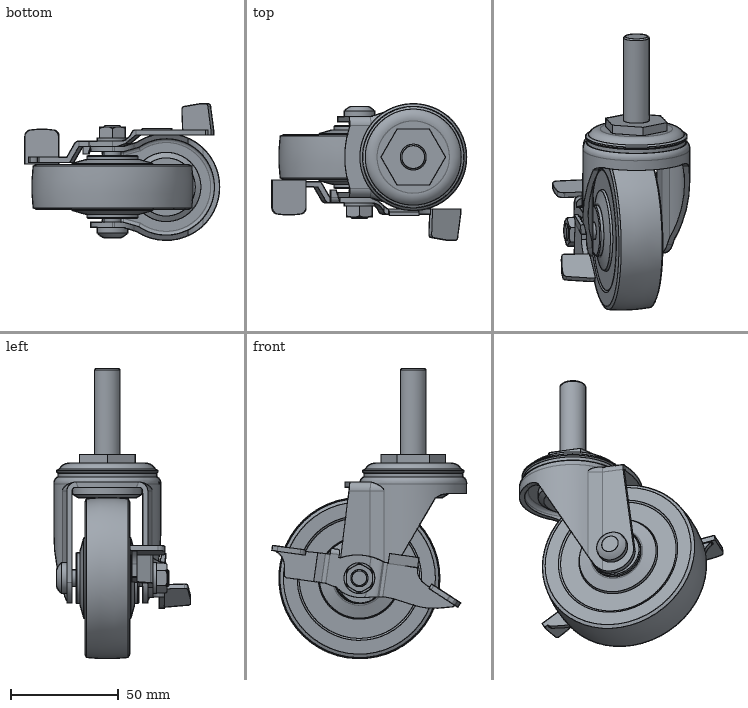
import cadquery as cq
import math


AXLE_X = -25.0
AXLE_R = 4.0
SHEET = 2.45
LEG_OUTER_Y = 18.8
BRAKE_OUTER_Y = LEG_OUTER_Y + SHEET
FORK_TOP = 46.9
FORK_R = 24.85
ROOF_TOP = 44.65
ROOF_BOTTOM = ROOF_TOP - SHEET
KINGPIN_R = 6.0

STEM_R = 6.0
STEM_TOP = 97.42
STEM_LENGTH = 40.0
STEM_CHAMFER = 0.7
HEX_FLATS = 26.0
HEX_HEIGHT = 4.0
HEX_TOP = STEM_TOP - STEM_LENGTH
CAP_TOP = HEX_TOP - HEX_HEIGHT
CAP_FLAT_R = 16.8
CAP_R = 23.6
CAP_CROWN_R = 22.3
CAP_CROWN_BOTTOM = 50.7
CAP_LIP_TOP = 50.0
CAP_LIP_BOTTOM = 48.7
CAP_NECK_R = 23.0
RACE_R = 16.1
RACE_EDGE = 38.9
RACE_BOTTOM = 37.3
RACE_BOTTOM_R = 13.5

LEG_END_R = 11.6
LEG_BEND_START_X = -20.0
LEG_BEND_END_X = -13.5
ROOF_BEND_R = 4.2
SHOULDER_R = 23.3
SHOULDER_BOTTOM = 43.8
HOUSING_EDGE = 39.2
HOUSING_EDGE_X = 17.0
LEG_BACK_X, LEG_BACK_Z = 10.2, 37.0
LEG_FRONT_X, LEG_FRONT_TOP_X = -35.1, -29.4
LEG_FRONT_Z = -2.0
LIP_X, LIP_HALF_WIDTH = -31.8, 14.5

WHEEL_R = 37.5
WHEEL_HALF_WIDTH = 10.45
TREAD_EDGE_R = 36.9
TREAD_SIDE_R = 35.3
TREAD_EDGE_Y = 9.7
RIM_R = 28.9
RIM_INNER_R = 28.0
RIM_RECESS = 0.5
CONE_R = 19.1
CONE_FOOT_R = 18.6
CONE_FOOT_Y = 11.0
CONE_TOP_R = 12.6
CONE_TOP_Y = 12.7
HUB_R = 11.9
HUB_CHAMFER = 0.5
HUB_HALF_LENGTH = 14.6

HEAD_R = 7.15
HEAD_EDGE_Y = 21.3
HEAD_TOP_Y = 23.6
HEAD_TOP_R = 4.0
FLANGE_R = 7.15
FLANGE_THICKNESS = 1.5
NUT_FLATS = 12.0
NUT_THICKNESS = 5.0
NUT_CHAMFER_R = 6.3
NUT_CHAMFER_HEIGHT = 0.6
BOLT_PROTRUSION = 0.8
BOLT_END_CHAMFER = 0.6

BRAKE_TILT = 8.0
FRONT_OUTER_Y = 13.8
REAR_OUTER_Y = 26.55
STRIP_REACH = 60.0
FRONT_PEDAL_START, FRONT_PEDAL_END = -42.1, -26.3
FRONT_PEDAL_TOP = 9.5
FRONT_PEDAL_INNER_Y, FRONT_PEDAL_OUTER_Y = 10.6, 26.9
FRONT_PEDAL_CORNER = 3.0
FRONT_PEDAL_BOW = 0.9
REAR_PEDAL_TOP = (34.0, -3.0)
REAR_PEDAL_TILT = 33.0
REAR_PEDAL_LENGTH = 15.6
REAR_PEDAL_OUTER_Y = 38.72
REAR_PEDAL_CORNER = 1.5
STOP_INNER_Y = 15.2
STOP_BEND_R = 2.4
STOP_START, STOP_END = -15.0, -10.75
STOP_BOTTOM, STOP_TOP = 8.2, 11.9
FLANGE_START, FLANGE_END = 12.3, 26.1
FLANGE_BOTTOM, FLANGE_TOP = 8.6, 13.3
FLANGE_LEAN = 1.3


def corner_diameter(flats):
    """Diameter across the corners of a hexagon with the given width across flats."""
    return 2 * flats / math.sqrt(3)


def cylinder_along_y(radius, y_start, y_end):
    """Cylinder on the axle line between two Y positions."""
    plane = cq.Workplane("XZ", origin=(AXLE_X, y_start, 0))
    return plane.circle(radius).extrude(y_start - y_end)


def revolve_about_axle(profile):
    """Turn an (radius, y) profile, drawn on the XY plane, about the axle line."""
    return profile.revolve(360, (0, 0, 0), (0, 1, 0)).translate((AXLE_X, 0, 0))


def make_swivel():
    crown_mid = ((CAP_FLAT_R + CAP_CROWN_R) / 2 + 0.7, (CAP_TOP + CAP_CROWN_BOTTOM) / 2 + 0.7)
    turned = (
        cq.Workplane("XZ")
        .moveTo(0, RACE_BOTTOM)
        .lineTo(RACE_BOTTOM_R, RACE_BOTTOM)
        .lineTo(RACE_R, RACE_EDGE)
        .lineTo(RACE_R, ROOF_BOTTOM)
        .lineTo(KINGPIN_R, ROOF_BOTTOM)
        .lineTo(KINGPIN_R, FORK_TOP)
        .lineTo(CAP_NECK_R, FORK_TOP)
        .lineTo(CAP_NECK_R, CAP_LIP_BOTTOM)
        .lineTo(CAP_R, (CAP_LIP_BOTTOM + CAP_LIP_TOP) / 2)
        .lineTo(CAP_R, CAP_LIP_TOP)
        .lineTo(CAP_CROWN_R, CAP_CROWN_BOTTOM)
        .threePointArc(crown_mid, (CAP_FLAT_R, CAP_TOP))
        .lineTo(0, CAP_TOP)
        .close()
        .revolve(360, (0, 0, 0), (0, 1, 0))
    )
    hexagon = (
        cq.Workplane("XY", origin=(0, 0, CAP_TOP))
        .polygon(6, corner_diameter(HEX_FLATS))
        .extrude(HEX_HEIGHT)
    )
    stem = (
        cq.Workplane("XY", origin=(0, 0, HEX_TOP))
        .circle(STEM_R)
        .extrude(STEM_LENGTH)
        .faces(">Z")
        .chamfer(STEM_CHAMFER)
    )
    return turned.union(hexagon).union(stem)


def fork_plan(inset):
    """Plan of the fork: two flat legs flaring into a round housing, moved inward by inset."""
    leg_y = LEG_OUTER_Y - inset
    radius = FORK_R - inset
    flare_y = math.sqrt(FORK_R**2 - LEG_BEND_END_X**2) - inset
    flare_x = -math.sqrt(radius**2 - flare_y**2)
    open_front_x = AXLE_X - STRIP_REACH
    return (
        cq.Workplane("XY", origin=(0, 0, -LEG_END_R))
        .moveTo(open_front_x, -leg_y)
        .lineTo(LEG_BEND_START_X, -leg_y)
        .lineTo(flare_x, -flare_y)
        .threePointArc((radius, 0), (flare_x, flare_y))
        .lineTo(LEG_BEND_START_X, leg_y)
        .lineTo(open_front_x, leg_y)
        .close()
    )


def fork_side_profile():
    """Side outline of the fork, from the rounded leg ends up to the housing."""
    dx, dz = LEG_BACK_X - AXLE_X, LEG_BACK_Z
    touch_angle = math.atan2(dz, dx) - math.acos(LEG_END_R / math.hypot(dx, dz))
    touch_point = (AXLE_X + LEG_END_R * math.cos(touch_angle), LEG_END_R * math.sin(touch_angle))
    clear_of_housing = 2 * FORK_R
    clear_of_top = FORK_TOP + SHEET
    return (
        cq.Workplane("XZ")
        .moveTo(LEG_FRONT_X, LEG_FRONT_Z)
        .threePointArc((AXLE_X, -LEG_END_R), touch_point)
        .lineTo(LEG_BACK_X, LEG_BACK_Z)
        .threePointArc((LEG_BACK_X + 2.7, HOUSING_EDGE - 0.6), (HOUSING_EDGE_X, HOUSING_EDGE))
        .lineTo(clear_of_housing, HOUSING_EDGE)
        .lineTo(clear_of_housing, clear_of_top)
        .lineTo(LEG_FRONT_TOP_X, clear_of_top)
        .lineTo(LEG_FRONT_TOP_X, ROOF_TOP)
        .close()
        .extrude(clear_of_housing, both=True)
    )


def make_fork():
    body = fork_plan(0).extrude(ROOF_TOP + LEG_END_R)
    body = body.faces(">Z").edges("not <X").fillet(ROOF_BEND_R)
    cavity = fork_plan(SHEET).extrude(ROOF_BOTTOM + LEG_END_R)
    cavity = cavity.faces(">Z").edges("not <X").fillet(ROOF_BEND_R - SHEET)
    housing = (
        cq.Workplane("XZ")
        .moveTo(0, HOUSING_EDGE)
        .lineTo(FORK_R, HOUSING_EDGE)
        .lineTo(FORK_R, SHOULDER_BOTTOM)
        .threePointArc((FORK_R - 0.35, SHOULDER_BOTTOM + 1.8), (SHOULDER_R, FORK_TOP))
        .lineTo(0, FORK_TOP)
        .close()
        .revolve(360, (0, 0, 0), (0, 1, 0))
    )
    lip = (
        cq.Workplane("XY", origin=(0, 0, ROOF_BOTTOM))
        .moveTo(LEG_FRONT_TOP_X, -LIP_HALF_WIDTH)
        .threePointArc((LIP_X, 0), (LEG_FRONT_TOP_X, LIP_HALF_WIDTH))
        .lineTo(LEG_BEND_START_X, LIP_HALF_WIDTH)
        .lineTo(LEG_BEND_START_X, -LIP_HALF_WIDTH)
        .close()
        .extrude(SHEET)
    )
    kingpin_hole = cq.Workplane("XY").circle(KINGPIN_R).extrude(STEM_TOP)
    axle_holes = cylinder_along_y(AXLE_R, FORK_R, -FORK_R)
    head_seat = cylinder_along_y(HEAD_R, FORK_R, LEG_OUTER_Y)
    fork = body.union(housing).cut(cavity).intersect(fork_side_profile())
    return fork.union(lip).cut(kingpin_hole).cut(axle_holes).cut(head_seat)


def make_wheel():
    half_profile = [
        (TREAD_SIDE_R, WHEEL_HALF_WIDTH),
        (RIM_R, WHEEL_HALF_WIDTH),
        (RIM_INNER_R, WHEEL_HALF_WIDTH - RIM_RECESS),
        (CONE_R, WHEEL_HALF_WIDTH - RIM_RECESS),
        (CONE_FOOT_R, CONE_FOOT_Y),
        (CONE_TOP_R, CONE_TOP_Y),
        (HUB_R, CONE_TOP_Y),
        (HUB_R, HUB_HALF_LENGTH - HUB_CHAMFER),
        (HUB_R - HUB_CHAMFER, HUB_HALF_LENGTH),
        (AXLE_R, HUB_HALF_LENGTH),
    ]
    mirrored = [(radius, -y) for radius, y in reversed(half_profile)]
    profile = (
        cq.Workplane("XY")
        .moveTo(TREAD_EDGE_R, -TREAD_EDGE_Y)
        .threePointArc((WHEEL_R, 0), (TREAD_EDGE_R, TREAD_EDGE_Y))
    )
    for point in half_profile + mirrored:
        profile = profile.lineTo(*point)
    return revolve_about_axle(profile.close())


def make_axle():
    flange_y = -BRAKE_OUTER_Y - FLANGE_THICKNESS
    nut_y = flange_y - NUT_THICKNESS
    bolt_end_y = nut_y - BOLT_PROTRUSION
    dome_mid = ((HEAD_R + HEAD_TOP_R) / 2 + 0.1, HEAD_TOP_Y - 0.9)
    head = revolve_about_axle(
        cq.Workplane("XY")
        .moveTo(0, LEG_OUTER_Y)
        .lineTo(HEAD_R, LEG_OUTER_Y)
        .lineTo(HEAD_R, HEAD_EDGE_Y)
        .threePointArc(dome_mid, (HEAD_TOP_R, HEAD_TOP_Y))
        .lineTo(0, HEAD_TOP_Y)
        .close()
    )
    shank = cylinder_along_y(AXLE_R, LEG_OUTER_Y, bolt_end_y).faces("<Y").chamfer(BOLT_END_CHAMFER)
    flange = cylinder_along_y(FLANGE_R, -BRAKE_OUTER_Y, flange_y)
    nut_hexagon = (
        cq.Workplane("XZ", origin=(AXLE_X, flange_y, 0))
        .transformed(rotate=(0, 0, 30))
        .polygon(6, corner_diameter(NUT_FLATS))
        .extrude(NUT_THICKNESS)
    )
    nut_corner_r = corner_diameter(NUT_FLATS) / 2
    nut_envelope = revolve_about_axle(
        cq.Workplane("XY")
        .moveTo(0, flange_y)
        .lineTo(nut_corner_r, flange_y)
        .lineTo(nut_corner_r, nut_y + NUT_CHAMFER_HEIGHT)
        .lineTo(NUT_CHAMFER_R, nut_y)
        .lineTo(0, nut_y)
        .close()
    )
    return head.union(shank).union(flange).union(nut_hexagon.intersect(nut_envelope))


def tilt_brake(shape):
    """Turn a shape from the level brake frame to its tilted place on the axle."""
    return shape.rotate((0, 0, 0), (0, 1, 0), BRAKE_TILT).translate((AXLE_X, 0, 0))


def brake_strip():
    """The bent strip at full width, before its side outline is cut."""
    section = (
        cq.Workplane("XY")
        .moveTo(-STRIP_REACH, -FRONT_OUTER_Y)
        .lineTo(-20.8, -FRONT_OUTER_Y)
        .lineTo(-17.2, -BRAKE_OUTER_Y + 1.2)
        .threePointArc((-16.4, -BRAKE_OUTER_Y + 0.3), (-15.1, -BRAKE_OUTER_Y))
        .lineTo(4.0, -BRAKE_OUTER_Y)
        .threePointArc((7.5, -BRAKE_OUTER_Y - 0.9), (9.7, -BRAKE_OUTER_Y - 3.2))
        .lineTo(10.2, -REAR_OUTER_Y + 1.1)
        .threePointArc((10.9, -REAR_OUTER_Y + 0.3), (12.0, -REAR_OUTER_Y))
        .lineTo(STRIP_REACH, -REAR_OUTER_Y)
        .lineTo(STRIP_REACH, SHEET - REAR_OUTER_Y)
        .lineTo(12.0, SHEET - REAR_OUTER_Y)
        .lineTo(7.2, -LEG_OUTER_Y - 1.4)
        .lineTo(3.5, -LEG_OUTER_Y)
        .lineTo(-15.1, -LEG_OUTER_Y)
        .lineTo(-19.4, SHEET - FRONT_OUTER_Y)
        .lineTo(-STRIP_REACH, SHEET - FRONT_OUTER_Y)
        .close()
    )
    return tilt_brake(section.extrude(STRIP_REACH, both=True))


def brake_outline():
    """Side outline of the brake strip, measured from the axle."""
    lower_edge = [(16.2, -9.7), (23.0, -11.9), (29.5, -13.6), (36.5, -14.0), (43.2, -13.4)]
    return (
        cq.Workplane("XZ", origin=(AXLE_X, 0, 0))
        .moveTo(-39.0, 12.5)
        .threePointArc((-36.0, 9.7), (-34.9, 6.5))
        .lineTo(-34.7, 0.8)
        .lineTo(-34.0, 0.2)
        .lineTo(-15.6, -2.4)
        .lineTo(-10.8, -4.3)
        .threePointArc((-5.8, -7.7), (0, -9.0))
        .lineTo(11.0, -8.7)
        .spline(lower_edge, includeCurrent=True)
        .lineTo(45.2, -12.2)
        .lineTo(33.0, -4.3)
        .threePointArc((29.6, -2.0), (27.0, 2.4))
        .lineTo(27.0, 4.7)
        .lineTo(11.5, 7.4)
        .threePointArc((1.0, 10.7), (-8.9, 9.4))
        .lineTo(-13.7, 11.2)
        .lineTo(-27.0, 12.6)
        .close()
        .extrude(STRIP_REACH)
    )


def front_pedal():
    bow_start_y = FRONT_PEDAL_BOW - FRONT_PEDAL_OUTER_Y
    middle = (FRONT_PEDAL_START + FRONT_PEDAL_END) / 2
    plate = (
        cq.Workplane("XY", origin=(0, 0, FRONT_PEDAL_TOP - SHEET))
        .moveTo(FRONT_PEDAL_START, -FRONT_PEDAL_INNER_Y)
        .lineTo(FRONT_PEDAL_START, bow_start_y)
        .threePointArc((middle, -FRONT_PEDAL_OUTER_Y), (FRONT_PEDAL_END, bow_start_y))
        .lineTo(FRONT_PEDAL_END, -FRONT_PEDAL_INNER_Y)
        .close()
        .extrude(SHEET)
        .edges("|Z")
        .edges("<Y")
        .fillet(FRONT_PEDAL_CORNER)
    )
    return tilt_brake(plate)


def rear_pedal():
    inner_y = SHEET - REAR_OUTER_Y
    plate = (
        cq.Workplane("XY", origin=(0, 0, -SHEET))
        .moveTo(0, inner_y)
        .lineTo(REAR_PEDAL_LENGTH, inner_y)
        .lineTo(REAR_PEDAL_LENGTH, -REAR_OUTER_Y)
        .lineTo(REAR_PEDAL_LENGTH - 1.9, -REAR_PEDAL_OUTER_Y)
        .lineTo(REAR_PEDAL_LENGTH - 6.0, -REAR_PEDAL_OUTER_Y)
        .lineTo(-0.6, 1.5 - REAR_PEDAL_OUTER_Y)
        .close()
        .extrude(SHEET)
        .edges("|Z")
        .edges(cq.selectors.BoxSelector((-1, -50, -9), (REAR_PEDAL_LENGTH, -30, 9)))
        .fillet(REAR_PEDAL_CORNER)
    )
    top_x, top_z = REAR_PEDAL_TOP
    plate = plate.rotate((0, 0, 0), (0, 1, 0), REAR_PEDAL_TILT)
    return plate.translate((AXLE_X + top_x, 0, top_z))


def stop_tab():
    """Tab bent inward from the strip, resting on the front edge of the fork leg."""
    tab = (
        cq.Workplane("XY", origin=(0, 0, STOP_BOTTOM))
        .moveTo(STOP_START, -STOP_INNER_Y)
        .lineTo(STOP_END - 1.8, -STOP_INNER_Y)
        .lineTo(STOP_END, -BRAKE_OUTER_Y)
        .lineTo(STOP_START, -BRAKE_OUTER_Y)
        .close()
        .extrude(STOP_TOP - STOP_BOTTOM)
        .faces(">Z")
        .edges("<Y")
        .fillet(STOP_BEND_R)
    )
    return tilt_brake(tab)


def stiffening_flange():
    """Flange along the top of the rear strip, leaning outward."""
    inner_y = SHEET - REAR_OUTER_Y
    flange = (
        cq.Workplane("YZ", origin=(FLANGE_START, 0, 0))
        .moveTo(inner_y, FLANGE_BOTTOM)
        .lineTo(inner_y - FLANGE_LEAN, FLANGE_TOP)
        .lineTo(-REAR_OUTER_Y - FLANGE_LEAN / 2, FLANGE_TOP)
        .lineTo(-REAR_OUTER_Y, FLANGE_BOTTOM)
        .close()
        .extrude(FLANGE_END - FLANGE_START)
    )
    return tilt_brake(flange)


def make_brake():
    brake = brake_strip().intersect(brake_outline())
    for feature in (front_pedal(), rear_pedal(), stop_tab(), stiffening_flange()):
        brake = brake.union(feature)
    axle_hole = cylinder_along_y(AXLE_R, 0, -REAR_OUTER_Y)
    flange_seat = cylinder_along_y(FLANGE_R, -BRAKE_OUTER_Y, -REAR_OUTER_Y)
    return brake.cut(axle_hole).cut(flange_seat)


swivel = make_swivel()
fork = make_fork()
wheel = make_wheel()
axle = make_axle()
brake = make_brake()

result = cq.Compound.makeCompound([swivel.val(), fork.val(), wheel.val(), axle.val(), brake.val()])